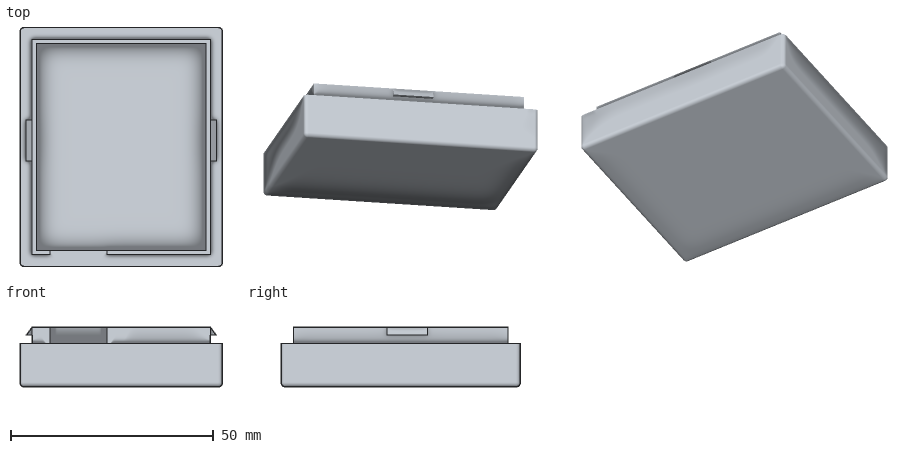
import cadquery as cq

width = 50.0
length = 59.0
height = 14.75
edge_radius = 1.0

lip_height = 4.0
lip_inset = 3.0
lip_wall = 1.0
floor_thickness = 4.0

gap_start_x = -17.5
gap_width = 14.0

snap_length = 10.05
snap_height = 2.0
snap_reach = 1.5
snap_center_y = 1.6

body_height = height - lip_height
lip_width = width - 2 * lip_inset
lip_length = length - 2 * lip_inset
cavity_width = lip_width - 2 * lip_wall
cavity_length = lip_length - 2 * lip_wall


def make_body():
    """Block with rounded vertical and bottom edges."""
    block = cq.Workplane("XY").box(width, length, body_height, centered=(True, True, False))
    return block.edges("|Z").fillet(edge_radius).faces("<Z").edges().fillet(edge_radius)


def make_lip():
    """Solid step on top of the body, before the cavity is cut."""
    return cq.Workplane("XY").workplane(offset=body_height).rect(lip_width, lip_length).extrude(lip_height)


def make_cavity():
    """Rectangular pocket from the floor to the top of the lip."""
    pocket = cq.Workplane("XY").workplane(offset=floor_thickness).rect(cavity_width, cavity_length)
    return pocket.extrude(height - floor_thickness)


def make_gap():
    """Notch through the -Y lip wall, down to the top of the body."""
    notch = cq.Workplane("XY").box(gap_width, lip_wall, lip_height, centered=False)
    return notch.translate((gap_start_x, -lip_length / 2, body_height))


def make_snap(side):
    """Wedge with a flat underside, sloping up to the top of the lip."""
    wall_x = side * lip_width / 2
    catch_z = height - snap_height
    profile = [(wall_x, height), (wall_x + side * snap_reach, catch_z), (wall_x, catch_z)]
    wedge = cq.Workplane("XZ").polyline(profile).close().extrude(snap_length / 2, both=True)
    return wedge.translate((0, snap_center_y, 0))


result = make_body().union(make_lip()).cut(make_cavity()).cut(make_gap())
for side in (-1, 1):
    result = result.union(make_snap(side))